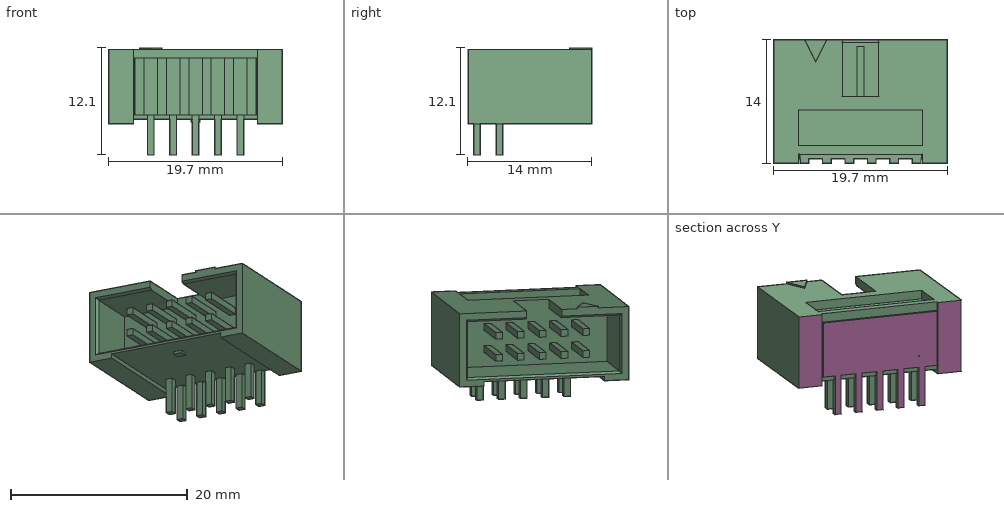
import cadquery as cq

width = 19.66
depth = 14.0
height = 8.43
wall = 1.0
half_wall = wall / 2
y_front = -depth / 2
y_rear = depth / 2

inner_span = 14.0

cavity_width = width - 2 * wall
cavity_depth = 6.45
cavity_height = height - 2 * wall
lead_in_depth = 0.35
lead_in_rise = 0.24
key_slot_width = 4.09

pocket_offset = 2 * wall
pocket_length = 4 * wall

pitch = 2.54
columns = 5
rows = 2
contact_size = 0.77
contact_center_z = 4.3
contact_tip_gap = 0.77
tail_length = 3.54
front_row_offset = 1.0

plate_side_gap = 0.1
rib_width = wall

arrow_size = 2.52
arrow_height = 0.18

pad_size = wall
pad_height = 0.3

column_x = [(i - (columns - 1) / 2) * pitch for i in range(columns)]
rib_x = [(i - columns / 2) * pitch for i in range(columns + 1)]


def block(x_center, x_size, y_min, y_max, z_min, z_max):
    """Box centred on x_center and spanning the given Y and Z limits."""
    box = cq.Workplane("XY").box(x_size, y_max - y_min, z_max - z_min, centered=(True, False, False))
    return box.translate((x_center, y_min, z_min))


def cavity():
    """Mating opening with sloped lead-in edges around its mouth."""
    cavity_floor = y_rear - cavity_depth
    opening = block(0, cavity_width, cavity_floor, y_rear, wall, height - wall)
    mouth = (
        cq.Workplane("XZ", origin=(0, y_rear, height / 2))
        .rect(cavity_width + 2 * lead_in_rise, cavity_height + 2 * lead_in_rise)
        .workplane(offset=lead_in_depth)
        .rect(cavity_width, cavity_height)
        .loft(ruled=True)
    )
    return opening.union(mouth)


def housing():
    """Shell with raised underside, front recess, top pocket, cavity and key slot."""
    body = block(0, width, y_front, y_rear, 0, height)
    body = body.cut(block(0, inner_span, y_front, y_rear, 0, half_wall))
    body = body.cut(block(0, inner_span, y_front, y_front + wall, 0, height))
    pocket_start = y_front + pocket_offset
    body = body.cut(block(0, inner_span, pocket_start, pocket_start + pocket_length, height - wall, height))
    body = body.cut(cavity())
    return body.cut(block(0, key_slot_width, y_rear - cavity_depth, y_rear, height / 2, height))


def ribbed_plate():
    """Plate in the front recess with ribs standing between the contact columns."""
    plate_width = inner_span - 2 * plate_side_gap
    plate_front = y_front + half_wall
    plate = block(0, plate_width, plate_front, y_front + wall, wall, height - wall)
    for x in rib_x:
        plate = plate.union(block(x, rib_width, y_front, plate_front, wall, height - wall))
    return plate


def contacts():
    """Horizontal mating pins in the cavity and vertical solder tails below, fused into the housing."""
    half = contact_size / 2
    tip = y_rear - contact_tip_gap
    pins = cq.Workplane("XY")
    for row in range(rows):
        pin_z = contact_center_z + ((rows - 1) / 2 - row) * pitch
        tail_y = y_front + front_row_offset + row * pitch
        for x in column_x:
            pins = pins.union(block(x, contact_size, tail_y, tip, pin_z - half, pin_z + half))
            pins = pins.union(block(x, contact_size, tail_y - half, tail_y + half, -tail_length, pin_z))
    return pins


def arrow():
    """Raised triangle marking pin one, pointing away from the mating edge."""
    x = column_x[0]
    corners = [
        (x - arrow_size / 2, y_rear),
        (x + arrow_size / 2, y_rear),
        (x, y_rear - arrow_size),
    ]
    return cq.Workplane("XY", origin=(0, 0, height)).polyline(corners).close().extrude(arrow_height)


def underside_pad():
    """Low pad centred under the cavity floor."""
    y_mid = y_rear - cavity_depth / 2
    return block(0, pad_size, y_mid - pad_size / 2, y_mid + pad_size / 2, half_wall - pad_height, half_wall)


result = housing().union(ribbed_plate()).union(contacts()).union(arrow()).union(underside_pad())